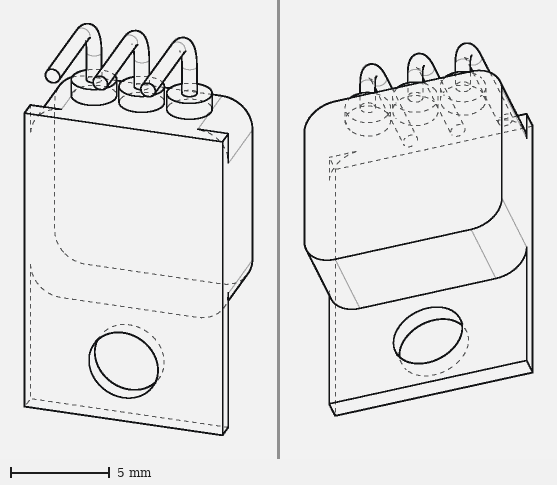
import cadquery as cq

PLATE_WIDTH = 10.55
PLATE_HEIGHT = 16.62
PLATE_THICKNESS = 0.98

HOLE_DIAMETER = 3.67
HOLE_CENTRE_HEIGHT = 3.15

CASE_HEIGHT = 10.65
CASE_BACK = 4.95
CASE_CORNER_RADIUS = 1.65

LEAD_COUNT = 3
LEAD_PITCH = 2.55
LEAD_SETBACK = 3.0
COLLAR_DIAMETER = 2.3
COLLAR_HEIGHT = 0.9

OVERALL_HEIGHT = 21.35
OVERALL_DEPTH = 8.75
LEAD_DIAMETER = 0.77
BEND_RADIUS = 1.9


def make_plate():
    """Flat plate with a round mounting hole on its centre line."""
    plate = cq.Workplane("XY").box(
        PLATE_WIDTH, PLATE_THICKNESS, PLATE_HEIGHT, centered=(True, False, False)
    )
    hole = (
        cq.Workplane("XZ")
        .center(0, HOLE_CENTRE_HEIGHT)
        .circle(HOLE_DIAMETER / 2)
        .extrude(-PLATE_THICKNESS)
    )
    return plate.cut(hole)


def make_case():
    """Block behind the plate with its four front-to-back edges rounded."""
    return (
        cq.Workplane("XZ", origin=(0, PLATE_THICKNESS, PLATE_HEIGHT - CASE_HEIGHT / 2))
        .rect(PLATE_WIDTH, CASE_HEIGHT)
        .extrude(PLATE_THICKNESS - CASE_BACK)
        .edges("|Y")
        .fillet(CASE_CORNER_RADIUS)
    )


def make_collar(x):
    """Round collar standing on top of the case."""
    return (
        cq.Workplane("XY", origin=(x, LEAD_SETBACK, PLATE_HEIGHT))
        .circle(COLLAR_DIAMETER / 2)
        .extrude(COLLAR_HEIGHT)
    )


def make_lead(x):
    """Round wire: a riser, a quarter bend and a forward run."""
    collar_top = PLATE_HEIGHT + COLLAR_HEIGHT
    run_height = OVERALL_HEIGHT - LEAD_DIAMETER / 2
    bend_start = run_height - BEND_RADIUS
    bend_end = LEAD_SETBACK - BEND_RADIUS
    tip = CASE_BACK - OVERALL_DEPTH

    path = (
        cq.Workplane("YZ", origin=(x, 0, 0))
        .moveTo(LEAD_SETBACK, collar_top)
        .lineTo(LEAD_SETBACK, bend_start)
        .tangentArcPoint((bend_end, run_height), relative=False)
        .lineTo(tip, run_height)
    )
    return (
        cq.Workplane("XY", origin=(x, LEAD_SETBACK, collar_top))
        .circle(LEAD_DIAMETER / 2)
        .sweep(path)
    )


result = make_plate().union(make_case())
for index in range(LEAD_COUNT):
    lead_x = (index - (LEAD_COUNT - 1) / 2) * LEAD_PITCH
    result = result.union(make_collar(lead_x)).union(make_lead(lead_x))